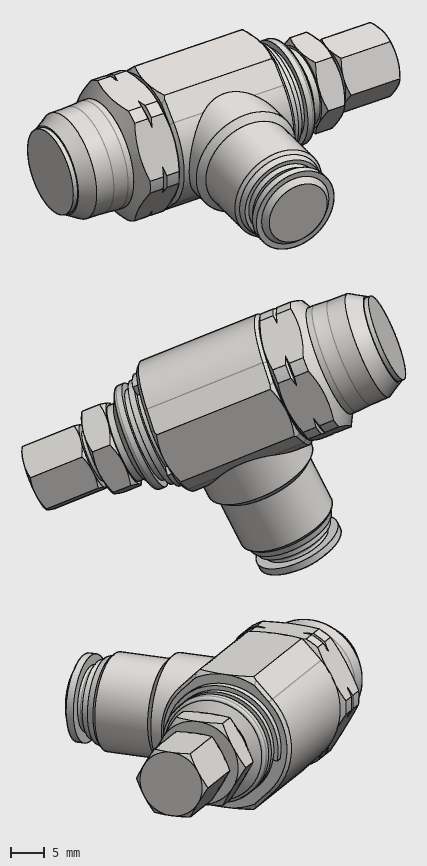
import cadquery as cq
import math


SLOPE = math.tan(math.radians(30))

tip_y = -26.45
pilot_top = tip_y + 0.75
lead_top = pilot_top + 2.35
band_top = lead_top + 2.95
thread_top = band_top + 2.35
lower_nut_bottom = thread_top + 1.0
lower_nut_top = lower_nut_bottom + 7.1
body_top = lower_nut_top + 20.0
clip_top = body_top + 1.15
lower_flange_top = clip_top + 1.0
groove_top = lower_flange_top + 1.05
upper_flange_top = groove_top + 0.9
cap_cone_top = upper_flange_top + 1.5
lock_nut_bottom = cap_cone_top + 1.05
lock_nut_top = lock_nut_bottom + 4.0
knob_bottom = lock_nut_top + 1.05
knob_top = knob_bottom + 9.4

pilot_radius = 6.7
lead_small_radius = 6.95
lead_radius = 8.35
band_radius = 8.4
thread_radius = 8.55

lower_nut_flats = 20.0
lower_nut_radius = 11.0
lower_nut_cone = 1.45
lower_nut_top_chamfer = 0.65
nick_depth = 0.5
nick_above_bottom = 4.0

body_flats = 21.0
body_side_chamfer = 0.5
body_corner_chamfer = 0.7

clip_radius = 9.0
clip_seat_radius = 7.3
clip_gap = 103
clip_gap_middle = 242
flange_radius = 8.35
cap_cone_edge_radius = 7.8
cap_rim_round = 0.5
cap_collar_radius = 6.1

lock_nut_flats = 13.0
knob_flats = 10.0
stem_radius = 4.0

boss_end = 12.55
boss_chamfer = 1.0
sleeve_end = 22.0
sleeve_chamfer = 0.5
shoulder_end = 23.6
lip_end = 24.65
neck_flare_start = 25.35
release_start = 25.8
release_rim_end = 26.95
release_end = 27.85
boss_radius = 8.6
sleeve_radius = 7.55
shoulder_end_radius = 6.65
lip_radius = 6.05
neck_radius = 5.0
neck_flare_radius = 5.1
release_radius = 6.7
release_step_radius = 5.8


def turned_y(points):
    """Solid of revolution about Y from (radius, y) points ordered upwards."""
    outline = [(0, points[0][1])] + points + [(0, points[-1][1])]
    return cq.Workplane("XY").polyline(outline).close().revolve(360, (0, 0), (0, 1))


def hexagon(flats, bottom, top):
    """Hexagonal prism along Y with corners on the X axis, sized across its flats."""
    corner_diameter = flats / math.cos(math.pi / 6)
    blank = cq.Workplane("XZ", origin=(0, bottom, 0)).polygon(6, corner_diameter)
    return blank.extrude(bottom - top)


def chamfered_hexagon(flats, bottom, top):
    """Hexagon with both ends turned down to the inscribed circle at 30 degrees."""
    inner = flats / 2
    outer = inner / math.cos(math.pi / 6)
    drop = (outer - inner) * SLOPE
    envelope = turned_y([(inner, bottom), (outer, bottom + drop), (outer, top - drop), (inner, top)])
    return hexagon(flats, bottom, top).intersect(envelope)


def thread_end():
    return turned_y([
        (pilot_radius, tip_y),
        (pilot_radius, pilot_top),
        (lead_small_radius, pilot_top),
        (lead_radius, lead_top),
        (band_radius, band_top),
        (thread_radius, thread_top),
        (thread_radius, lower_nut_bottom),
    ])


def lower_nut():
    """Hexagon with turned corners and a V-shaped nick round the middle of the corners."""
    nick_y = lower_nut_bottom + nick_above_bottom
    nick_half_width = nick_depth * SLOPE
    top_radius = lower_nut_radius - lower_nut_top_chamfer / SLOPE
    envelope = turned_y([
        (thread_radius, lower_nut_bottom),
        (lower_nut_radius, lower_nut_bottom + lower_nut_cone),
        (lower_nut_radius, nick_y - nick_half_width),
        (lower_nut_radius - nick_depth, nick_y),
        (lower_nut_radius, nick_y + nick_half_width),
        (lower_nut_radius, lower_nut_top - lower_nut_top_chamfer),
        (top_radius, lower_nut_top),
    ])
    return hexagon(lower_nut_flats, lower_nut_bottom, lower_nut_top).intersect(envelope)


def body():
    """Octagonal upper and lower sides blended into round sides, chamfered at both ends."""
    radius = body_flats / 2
    flat_half_width = radius * math.tan(math.pi / 8)
    tangent = radius * math.cos(math.pi / 4)
    outline = (
        cq.Workplane("XZ", origin=(0, lower_nut_top, 0))
        .moveTo(-flat_half_width, radius)
        .lineTo(flat_half_width, radius)
        .lineTo(tangent, tangent)
        .threePointArc((radius, 0), (tangent, -tangent))
        .lineTo(flat_half_width, -radius)
        .lineTo(-flat_half_width, -radius)
        .lineTo(-tangent, -tangent)
        .threePointArc((-radius, 0), (-tangent, tangent))
        .close()
    )
    block = outline.extrude(lower_nut_top - body_top)
    side_edges = block.faces("<Y or >Y").edges("not(<Z or >Z)")
    chamfered = side_edges.chamfer(body_side_chamfer)

    corner_radius = radius / math.cos(math.pi / 8)
    envelope = turned_y([
        (radius, lower_nut_top),
        (corner_radius, lower_nut_top + body_corner_chamfer),
        (corner_radius, body_top - body_corner_chamfer),
        (radius, body_top),
    ])
    return chamfered.intersect(envelope)


def retaining_clip():
    """C-shaped clip round its seat, open over one sector."""
    first = math.radians(clip_gap_middle - clip_gap / 2)
    last = math.radians(clip_gap_middle + clip_gap / 2)
    opposite = math.radians(clip_gap_middle + 180)

    def rim(angle):
        return (clip_radius * math.cos(angle), clip_radius * math.sin(angle))

    clip = (
        cq.Workplane("XZ", origin=(0, body_top, 0))
        .lineTo(*rim(first))
        .threePointArc(rim(opposite), rim(last))
        .close()
        .extrude(body_top - clip_top)
    )
    seat = turned_y([(clip_seat_radius, body_top), (clip_seat_radius, clip_top)])
    return seat.union(clip)


def cap():
    """Grooved flange with a rounded rim and a cone up to the collar."""
    return (
        cq.Workplane("XY")
        .moveTo(0, clip_top)
        .lineTo(flange_radius, clip_top)
        .lineTo(flange_radius, lower_flange_top)
        .lineTo(clip_seat_radius, lower_flange_top)
        .lineTo(clip_seat_radius, groove_top)
        .lineTo(flange_radius, groove_top)
        .lineTo(flange_radius, upper_flange_top)
        .tangentArcPoint((cap_cone_edge_radius, upper_flange_top + cap_rim_round), relative=False)
        .lineTo(cap_collar_radius, cap_cone_top)
        .lineTo(cap_collar_radius, lock_nut_bottom)
        .lineTo(0, lock_nut_bottom)
        .close()
        .revolve(360, (0, 0), (0, 1))
    )


def adjusting_knob():
    stem = turned_y([(stem_radius, lock_nut_top), (stem_radius, knob_bottom)])
    lock_nut = chamfered_hexagon(lock_nut_flats, lock_nut_bottom, lock_nut_top)
    knob = chamfered_hexagon(knob_flats, knob_bottom, knob_top)
    return lock_nut.union(stem).union(knob)


def side_branch():
    """Boss, sleeve and release ring turned about X."""
    outline = [
        (0, 0),
        (0, boss_radius),
        (boss_end, boss_radius),
        (boss_end + boss_chamfer, sleeve_radius),
        (sleeve_end, sleeve_radius),
        (sleeve_end + sleeve_chamfer, sleeve_radius - sleeve_chamfer),
        (shoulder_end, shoulder_end_radius),
        (shoulder_end, lip_radius),
        (lip_end, lip_radius),
        (lip_end, neck_radius),
        (neck_flare_start, neck_radius),
        (release_start, neck_flare_radius),
        (release_start, release_radius),
        (release_rim_end, release_radius),
        (release_rim_end, release_step_radius),
        (release_end, neck_radius),
        (release_end, 0),
    ]
    return cq.Workplane("XY").polyline(outline).close().revolve(360, (0, 0), (1, 0))


result = (
    body()
    .union(side_branch())
    .union(lower_nut())
    .union(thread_end())
    .union(retaining_clip())
    .union(cap())
    .union(adjusting_knob())
)